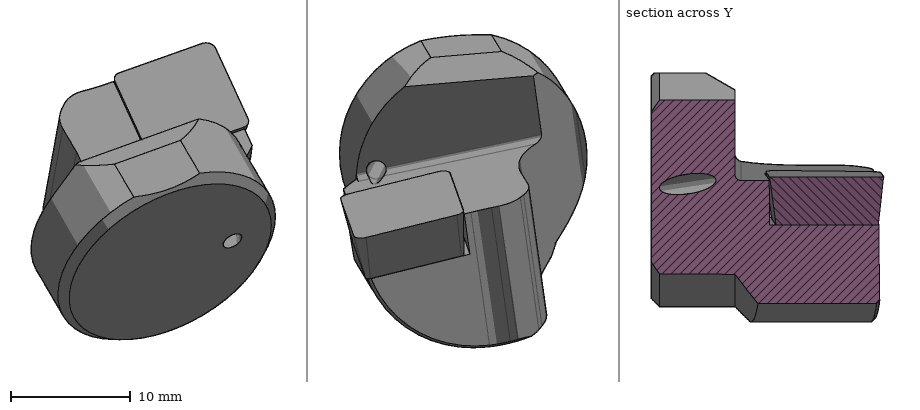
import cadquery as cq
import math


flange_diameter = 20.0
flange_radius = flange_diameter / 2
flange_length = 7.01
back_chamfer = 0.7
flat_height = 9.53
flat_slope_length = 2.45
flat_slope_angle = 30

head_radius = 11.28
head_offset_y = 1.2
head_edge_chamfer = 0.28
head_edge_point = (-19.14, 8.53, -8.57)
seat_tilt = 7.5
seat_height = 1.47
seat_fillet = 0.5

front_x = -18.57
side_y = -2.86
corner_radius = 2.89
corner_flat = 0.37
front_land = 0.65
relief_angle = 5
relief_blend_radius = 20.63
relief_end_y = 12.47
sweep_start_x = -12.55
sweep_radius = 6.46
side_end_x = -8.4
side_end_y = 11.5

insert_tip = (-19.99, 13.09)
insert_edge = 9.67
insert_thickness = 3.97
insert_nose_radius = 0.8
insert_clearance = 7
insert_rise = 0.28

hole_diameter = 1.6
hole_y = 8.27
hole_z = 0.85
hole_tilt = 8
hole_yaw = 20

reach = 45.85


def tilted_plane(offset=0):
    """Workplane parallel to the head's top face, offset along its normal."""
    tilt = math.radians(seat_tilt)
    plane = cq.Plane((0, 0, seat_height), (1, 0, 0), (0, math.sin(tilt), math.cos(tilt)))
    return cq.Workplane(plane).workplane(offset=offset)


def make_flange():
    """Round disc with a flat and a sloped facet on top."""
    disc = cq.Workplane("YZ").circle(flange_radius).extrude(-flange_length)
    disc = disc.faces(">X").chamfer(back_chamfer)
    facet_drop = flat_slope_length * math.tan(math.radians(flat_slope_angle))
    above_flat = (
        cq.Workplane("XZ")
        .moveTo(0, flat_height)
        .lineTo(flat_slope_length - flange_length, flat_height)
        .lineTo(-flange_length, flat_height - facet_drop)
        .lineTo(-flange_length, reach)
        .lineTo(0, reach)
        .close()
        .extrude(reach, both=True)
    )
    return disc.cut(above_flat)


def front_outline():
    """Outline of the front face from its +Y corner through the blend to the straight land."""
    lean_angle = math.radians(relief_angle)
    blend_y = side_y + corner_radius + corner_flat + front_land
    blend_end_x = front_x - relief_blend_radius * (1 - math.cos(lean_angle))
    blend_end_y = blend_y + relief_blend_radius * math.sin(lean_angle)
    relief_end_x = blend_end_x - (relief_end_y - blend_end_y) * math.tan(lean_angle)
    return (
        tilted_plane(-reach)
        .moveTo(relief_end_x, relief_end_y)
        .lineTo(blend_end_x, blend_end_y)
        .radiusArc((front_x, blend_y), relief_blend_radius)
    )


def front_prism():
    """Space behind the front face, with the land running straight on towards -Y."""
    return (
        front_outline()
        .lineTo(front_x, -reach)
        .lineTo(reach, -reach)
        .lineTo(reach, side_end_y)
        .lineTo(side_end_x, side_end_y)
        .close()
        .extrude(2 * reach)
    )


def plan_prism():
    """Plan outline of the holder, carried straight through along the tilted normal."""
    slant = math.sqrt(0.5)
    arc_run = corner_radius * slant
    arc_rise = corner_radius - arc_run
    land_y = side_y + corner_radius + corner_flat
    flat_start = (front_x + arc_rise, land_y - arc_run)
    flat_end = (flat_start[0] + corner_flat, flat_start[1] - corner_flat)
    sweep_end_x = sweep_start_x + sweep_radius
    return (
        front_outline()
        .lineTo(front_x, land_y)
        .radiusArc(flat_start, -corner_radius)
        .lineTo(*flat_end)
        .radiusArc((flat_end[0] + arc_run, side_y), -corner_radius)
        .lineTo(sweep_start_x, side_y)
        .radiusArc((sweep_end_x, side_y - sweep_radius), sweep_radius)
        .lineTo(sweep_end_x, -reach)
        .lineTo(reach, -reach)
        .lineTo(reach, side_end_y)
        .lineTo(side_end_x, side_end_y)
        .close()
        .extrude(2 * reach)
    )


def seat_fillet_strip():
    """Concave strip joining the top face to the flange's front face."""
    start_x = -flange_length - seat_fillet
    tilt = math.radians(seat_tilt)
    plane = cq.Plane((0, 0, seat_height), (1, 0, 0), (0, -math.cos(tilt), math.sin(tilt)))
    return (
        cq.Workplane(plane)
        .moveTo(-flange_length, 0)
        .lineTo(start_x, 0)
        .radiusArc((-flange_length, seat_fillet), -seat_fillet)
        .close()
        .extrude(flange_radius, both=True)
    )


def make_head():
    """Offset round bar with a chamfered front edge, a flat top and a conical back."""
    bar = cq.Workplane("YZ").center(head_offset_y, 0).circle(head_radius).extrude(-reach)
    bar = bar.cut(tilted_plane().rect(2 * reach, 2 * reach).extrude(reach))
    bar = bar.intersect(front_prism())
    bar = bar.edges(cq.selectors.NearestToPointSelector(head_edge_point)).chamfer(head_edge_chamfer)
    bar = bar.union(seat_fillet_strip())
    back_cone = (
        cq.Workplane("XY")
        .moveTo(-flange_length, 0)
        .lineTo(-flange_length, flange_radius)
        .lineTo(-reach, flange_radius + reach - flange_length)
        .lineTo(-reach, 0)
        .close()
        .revolve(360, (0, 0, 0), (1, 0, 0))
    )
    return bar.intersect(back_cone)


def rhombus(offset):
    """Insert outline with sharp corners, drawn at a height above the top face."""
    along = insert_edge * math.cos(math.radians(relief_angle))
    across = insert_edge * math.sin(math.radians(relief_angle))
    tip_x, tip_y = insert_tip
    return tilted_plane(offset).polyline([
        (tip_x, tip_y),
        (tip_x + along, tip_y - across),
        (tip_x + along + across, tip_y - across - along),
        (tip_x + across, tip_y - along),
    ]).close()


def make_insert():
    """Rhombic cutting insert, tapering towards its seat."""
    outline = rhombus(insert_rise).extrude(-insert_thickness)
    normal = tilted_plane().plane.zDir
    rounded = outline.edges(cq.selectors.ParallelDirSelector(normal)).fillet(insert_nose_radius)
    top_wire = rounded.faces(cq.selectors.DirectionMinMaxSelector(normal, True)).wires().val()
    return (
        tilted_plane(insert_rise)
        .add(top_wire)
        .toPending()
        .extrude(-insert_thickness, taper=insert_clearance)
    )


def insert_pocket():
    """Straight-walled, sharp-cornered pocket, open above the insert's seat."""
    return rhombus(insert_rise - insert_thickness).extrude(insert_thickness)


def coolant_hole():
    """Inclined round hole through the flange, grazing the top face."""
    tilt = math.radians(hole_tilt)
    yaw = math.radians(hole_yaw)
    direction = (-math.cos(tilt) * math.cos(yaw), math.cos(tilt) * math.sin(yaw), math.sin(tilt))
    plane = cq.Plane((-flange_length, hole_y, hole_z), normal=direction)
    return cq.Workplane(plane).circle(hole_diameter / 2).extrude(2 * flange_length, both=True)


def make_holder():
    """Flange and head in one piece, with the insert pocket and coolant hole."""
    holder = make_flange().union(make_head()).intersect(plan_prism())
    return holder.cut(insert_pocket()).cut(coolant_hole())


holder = make_holder()
insert = make_insert()

result = cq.Compound.makeCompound([holder.solids().val(), insert.val()])